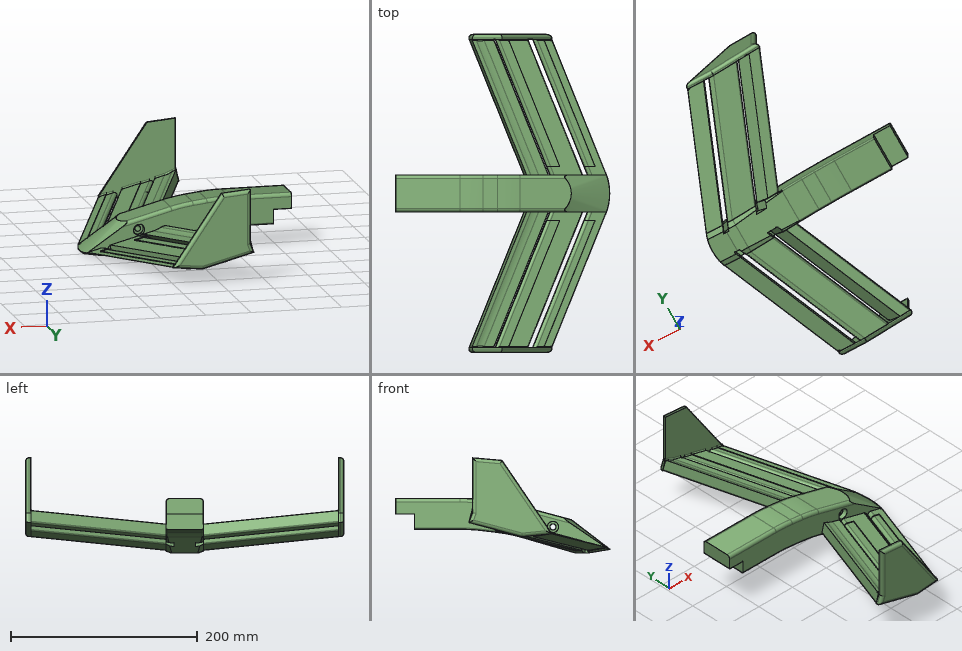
import cadquery as cq
import math


DOWNSLOPE_ANGLE = 15.0
DOWNSLOPE = math.tan(math.radians(DOWNSLOPE_ANGLE))

NOSE_LENGTH = 229.09
NOSE_HALF_WIDTH = 20.0
NOSE_TOP = 58.7
MOUNT_FLOOR = 25.5
TENON_LENGTH = 20.0
TENON_FLOOR = 41.7
TOP_FILLET = 4.0
BOTTOM_FILLET = 1.5
FIRST_SLOPE = 7.0
BENDS = (
    (69.0, 93.5, 0.0, FIRST_SLOPE),
    (109.0, 133.0, FIRST_SLOPE, DOWNSLOPE_ANGLE),
)
KEEL_REAR = 193.0
KEEL_FRONT = 205.0
TIP_HEIGHT = 4.0
KEEL_BEVEL_WIDTH = 6.0
KEEL_BEVEL_HEIGHT = 2.2
MARGIN = 1.0
TOP_EDGES_FROM = (25.0, 36.0)
BOTTOM_EDGES_FROM = (25.0, 5.0)
TIP_CORNER = (226.3, 18.0)
TIP_SIDE_X = 225.5
BONNET_REAR = 175.0
BONNET_REAR_HEIGHT = 45.8
BONNET_REAR_CROWN = 6.2
BONNET_FRONT = 230.0
BONNET_FRONT_HEIGHT = 3.7
BONNET_FRONT_CROWN = 1.0
BOLT_X = 168.3
BOLT_Z = 28.1
BOLT_DIAMETER = 6.3
COUNTERBORE_DIAMETER = 12.0
COUNTERBORE_DEPTH = 6.0
POCKET_BREAKOUT = 6.0
POCKET_END = 11.7

WING_ROOT = NOSE_HALF_WIDTH
SWEEP = math.tan(math.radians(22.0))
DIHEDRAL = math.tan(math.radians(5.75))
LEADING_EDGE = (225.5, 6.3)
REAR_BOTTOM = (136.8, 18.2)
REAR_TOP = (140.0, 31.2)
KICK_FRONT_X = 152.8
KICK_REAR = (144.4, 29.4)
FLAP_KEEL = (150.0, 14.8)
FLAP_FRONT_X = 163.4
MAIN_REAR_BOTTOM = (164.8, 9.6)
MAIN_REAR_TOP = (165.2, 18.5)
MAIN_ROUND_END_X = 169.3
MAIN_STEP_X = 179.1
MAIN_KEEL = (193.5, 3.1)
MAIN_KEEL_FRONT = (199.0, 3.1)
MAIN_FRONT_X = 199.9
FRONT_PLANE_BOTTOM = (206.0, 3.1)
FRONT_PLANE_REAR = (205.0, 7.5)
FRONT_ROUND_END_X = 209.8
FRONT_STEP_X = 217.0
REAR_EDGE_RADIUS = 1.5
STEP_DEPTH = 0.8
STEP_START = 29.0

PLATE_OUTER = 170.4
PLATE_THICKNESS = 5.6
PLATE_INNER = PLATE_OUTER - PLATE_THICKNESS
PLATE_FILLET = 3.8
PLATE_REAR_X = 82.3
PLATE_REAR_TOP = 102.19
PLATE_FRONT_TOP = (113.7, 99.4)
PLATE_NOTCH_HEIGHT = 43.2
JOINT_RADIUS = 1.8
JOINT_EMBED = 0.3


def bent_edge(height):
    """Nodes (start, middle, end) of the two arcs of an edge that leaves the rear at `height`."""
    arcs = []
    x, z = 0.0, height
    for start_x, end_x, start_slope, end_slope in BENDS:
        first, last = math.radians(start_slope), math.radians(end_slope)
        mean = (first + last) / 2
        radius = (end_x - start_x) / (math.sin(last) - math.sin(first))
        z -= (start_x - x) * math.tan(first)
        start = (start_x, z)
        middle = (
            start_x + radius * (math.sin(mean) - math.sin(first)),
            z - radius * (math.cos(first) - math.cos(mean)),
        )
        z -= radius * (math.cos(first) - math.cos(last))
        x = end_x
        arcs.append((start, middle, (x, z)))
    return arcs


def edges_along_side(side, lower_corner, upper_corner):
    """Selector for edges on one side face whose middles lie between two (X, Z) corners."""
    low_x, low_z = lower_corner
    high_x, high_z = upper_corner
    return cq.selectors.BoxSelector((low_x, side - MARGIN, low_z), (high_x, side + MARGIN, high_z))


def nose_blank():
    """Side outline of the nose, extruded across its width, with rounded long edges."""
    top = bent_edge(NOSE_TOP)
    bottom = bent_edge(MOUNT_FLOOR)
    slope_start_x, slope_start_z = top[-1][-1]
    front_z = slope_start_z - (NOSE_LENGTH - slope_start_x) * DOWNSLOPE
    outline = cq.Workplane("XZ").moveTo(0, NOSE_TOP)
    for start, middle, end in top:
        outline = outline.lineTo(*start).threePointArc(middle, end)
    outline = outline.lineTo(NOSE_LENGTH, front_z).lineTo(NOSE_LENGTH, TIP_HEIGHT)
    outline = outline.lineTo(KEEL_FRONT, 0).lineTo(KEEL_REAR, 0)
    for start, middle, end in reversed(bottom):
        outline = outline.lineTo(*end).threePointArc(middle, start)
    outline = outline.lineTo(TENON_LENGTH, MOUNT_FLOOR).lineTo(TENON_LENGTH, TENON_FLOOR)
    blank = outline.lineTo(0, TENON_FLOOR).close().extrude(NOSE_HALF_WIDTH, both=True)
    top_limit = (NOSE_LENGTH - MARGIN, NOSE_TOP + MARGIN)
    bottom_limit = (KEEL_REAR, MOUNT_FLOOR + MARGIN)
    for side in (-NOSE_HALF_WIDTH, NOSE_HALF_WIDTH):
        blank = blank.edges(edges_along_side(side, TOP_EDGES_FROM, top_limit)).fillet(TOP_FILLET)
        blank = blank.edges(edges_along_side(side, BOTTOM_EDGES_FROM, bottom_limit)).fillet(BOTTOM_FILLET)
    return blank


def nose_plan():
    """Plan outline of the nose, with its rounded tip, as a tall block."""
    corner_x, corner_y = TIP_CORNER
    return (
        cq.Workplane("XY")
        .moveTo(0, -NOSE_HALF_WIDTH)
        .lineTo(TIP_SIDE_X, -NOSE_HALF_WIDTH)
        .lineTo(corner_x, -corner_y)
        .threePointArc((NOSE_LENGTH, 0), (corner_x, corner_y))
        .lineTo(TIP_SIDE_X, NOSE_HALF_WIDTH)
        .lineTo(0, NOSE_HALF_WIDTH)
        .close()
        .extrude(NOSE_TOP)
    )


def bonnet_section(x, height, crown):
    """Closed section above the crowned front surface at one station along X."""
    half_width = NOSE_HALF_WIDTH + MARGIN
    low = height - crown
    arc = cq.Edge.makeThreePointArc(
        cq.Vector(x, -half_width, low), cq.Vector(x, 0, height), cq.Vector(x, half_width, low)
    )
    corners = [
        (x, half_width, low),
        (x, half_width, NOSE_TOP),
        (x, -half_width, NOSE_TOP),
        (x, -half_width, low),
    ]
    sides = [cq.Edge.makeLine(cq.Vector(*a), cq.Vector(*b)) for a, b in zip(corners, corners[1:])]
    return cq.Wire.assembleEdges([arc, *sides])


def bonnet_cutter():
    """Solid above the crowned front surface of the nose."""
    rear = bonnet_section(BONNET_REAR, BONNET_REAR_HEIGHT, BONNET_REAR_CROWN)
    front = bonnet_section(BONNET_FRONT, BONNET_FRONT_HEIGHT, BONNET_FRONT_CROWN)
    return cq.Workplane(cq.Solid.makeLoft([rear, front], True))


def bevel_section(x, z, scale, side):
    """Triangle that takes the bevel off the lower edge of the nose, given the underside height `z`."""
    inner = side * (NOSE_HALF_WIDTH - KEEL_BEVEL_WIDTH * scale)
    outer = side * NOSE_HALF_WIDTH
    height = KEEL_BEVEL_HEIGHT * scale
    corners = [(x, inner, z), (x, outer, z + height), (x, outer, z - height), (x, inner, z - height)]
    return cq.Wire.makePolygon([cq.Vector(*corner) for corner in corners], close=True)


def keel_bevel(side):
    """Wedges along the lower front edge on one side of the nose; the bevel widens towards the keel."""
    bend_x, bend_z = bent_edge(MOUNT_FLOOR)[-1][-1]
    sections = [
        bevel_section(bend_x, bend_z, BOTTOM_FILLET / KEEL_BEVEL_WIDTH, side),
        bevel_section(KEEL_REAR, 0, 1, side),
        bevel_section(KEEL_FRONT, 0, 1, side),
        bevel_section(NOSE_LENGTH, TIP_HEIGHT, 1, side),
    ]
    return [cq.Solid.makeLoft([rear, front], True) for rear, front in zip(sections, sections[1:])]


def bolt_hole():
    """Cross hole through the nose with a counterbore on both sides."""
    plane = cq.Workplane("XZ", origin=(BOLT_X, 0, BOLT_Z))
    hole = plane.circle(BOLT_DIAMETER / 2).extrude(NOSE_HALF_WIDTH, both=True)
    bore = plane.circle(COUNTERBORE_DIAMETER / 2).extrude(NOSE_HALF_WIDTH, both=True)
    core = plane.circle(COUNTERBORE_DIAMETER).extrude(NOSE_HALF_WIDTH - COUNTERBORE_DEPTH, both=True)
    return hole.union(bore.cut(core))


def top_point(x, drop=0.0):
    """Point of the root plane on the sloping top of the wing, or `drop` below it."""
    lead_x, lead_z = LEADING_EDGE
    return (x, lead_z + (lead_x - x) * DOWNSLOPE - drop)


def swept(outline, start, end, side):
    """Solid that follows the sweep and dihedral of a wing between two distances from the middle."""
    offset = start - WING_ROOT
    wire = outline.wire().val().translate(cq.Vector(-SWEEP * offset, side * start, DIHEDRAL * offset))
    span = end - start
    vector = cq.Vector(-SWEEP * span, side * span, DIHEDRAL * span)
    return cq.Workplane(cq.Solid.extrudeLinear(wire, [], vector))


def round_corner(before, corner, after, radius):
    """Start, middle and end of an arc that rounds the corner between two straight lines."""
    here = cq.Vector(*corner)
    back = (cq.Vector(*before) - here).normalized()
    ahead = (cq.Vector(*after) - here).normalized()
    half_angle = back.getAngle(ahead) / 2
    setback = radius / math.tan(half_angle)
    bisector = (back + ahead).normalized()
    middle = here + bisector * (radius / math.sin(half_angle) - radius)
    nodes = (here + back * setback, middle, here + ahead * setback)
    return [(node.x, node.y) for node in nodes]


def rear_flap_outline():
    """Rear flap, with its top curving up to the rear face."""
    arc_start, arc_middle, arc_end = round_corner(REAR_TOP, REAR_BOTTOM, FLAP_KEEL, REAR_EDGE_RADIUS)
    return (
        cq.Workplane("XZ")
        .moveTo(*top_point(FLAP_FRONT_X))
        .lineTo(*top_point(KICK_FRONT_X))
        .tangentArcPoint(KICK_REAR, relative=False)
        .lineTo(*REAR_TOP)
        .lineTo(*arc_start)
        .threePointArc(arc_middle, arc_end)
        .lineTo(*FLAP_KEEL)
        .close()
    )


def main_plane_outline(step):
    """Main plane; the rear strip of its top is lowered by `step`."""
    arc_start, arc_middle, arc_end = round_corner(
        MAIN_REAR_TOP, MAIN_REAR_BOTTOM, MAIN_KEEL, REAR_EDGE_RADIUS
    )
    outline = cq.Workplane("XZ").moveTo(*top_point(MAIN_FRONT_X)).lineTo(*top_point(MAIN_STEP_X))
    if step:
        outline = outline.lineTo(*top_point(MAIN_STEP_X, step))
    return (
        outline.lineTo(*top_point(MAIN_ROUND_END_X, step))
        .tangentArcPoint(MAIN_REAR_TOP, relative=False)
        .lineTo(*arc_start)
        .threePointArc(arc_middle, arc_end)
        .lineTo(*MAIN_KEEL)
        .lineTo(*MAIN_KEEL_FRONT)
        .close()
    )


def front_plane_outline(step):
    """Front plane; the rear strip of its top is lowered by `step`."""
    outline = cq.Workplane("XZ").moveTo(*LEADING_EDGE).lineTo(*top_point(FRONT_STEP_X))
    if step:
        outline = outline.lineTo(*top_point(FRONT_STEP_X, step))
    return (
        outline.lineTo(*top_point(FRONT_ROUND_END_X, step))
        .tangentArcPoint(FRONT_PLANE_REAR, relative=False)
        .lineTo(*FRONT_PLANE_BOTTOM)
        .close()
    )


def slot_outlines():
    """Gaps behind and ahead of the main plane, deepened so that they open below the nose."""

    def below(point):
        return (point[0], point[1] - POCKET_BREAKOUT)

    rear = [below(FLAP_KEEL), top_point(FLAP_FRONT_X), MAIN_REAR_TOP, below(MAIN_REAR_BOTTOM)]
    front = [below(MAIN_KEEL_FRONT), top_point(MAIN_FRONT_X), FRONT_PLANE_REAR, below(FRONT_PLANE_BOTTOM)]
    return [cq.Workplane("XZ").polyline(points).close() for points in (rear, front)]


def at_tip(point):
    """Point of the root outline carried out to the inner face of the endplate."""
    span = PLATE_INNER - WING_ROOT
    return (point[0] - SWEEP * span, point[1] + DIHEDRAL * span)


def endplate(side):
    """Upright plate that closes the wing tip and follows the underside of the wing."""
    points = [
        at_tip(REAR_BOTTOM),
        (PLATE_REAR_X, PLATE_NOTCH_HEIGHT),
        (PLATE_REAR_X, PLATE_REAR_TOP),
        PLATE_FRONT_TOP,
        at_tip(LEADING_EDGE),
        at_tip(MAIN_KEEL),
    ]
    plane = cq.Workplane("XZ", origin=(0, side * PLATE_INNER, 0))
    plate = plane.polyline(points).close().extrude(-side * PLATE_THICKNESS)
    outer_face = ">Y" if side > 0 else "<Y"
    return plate.faces(outer_face).edges().fillet(PLATE_FILLET)


def stepped_element(make_outline, side):
    """Wing element whose top is flush next to the nose and stepped along the rest of the span."""
    root = swept(make_outline(0), WING_ROOT, STEP_START, side)
    return root.union(swept(make_outline(STEP_DEPTH), STEP_START, PLATE_INNER, side))


def joint_spans():
    """Front and rear end, in the root outline, of each stretch of top that meets the endplate."""
    return [
        (top_point(FLAP_FRONT_X), top_point(KICK_FRONT_X)),
        (top_point(KICK_FRONT_X), KICK_REAR),
        (KICK_REAR, REAR_TOP),
        (top_point(MAIN_FRONT_X), top_point(MAIN_STEP_X)),
        (top_point(MAIN_STEP_X, STEP_DEPTH), top_point(MAIN_ROUND_END_X, STEP_DEPTH)),
        (LEADING_EDGE, top_point(FRONT_STEP_X)),
        (top_point(FRONT_STEP_X, STEP_DEPTH), top_point(FRONT_ROUND_END_X, STEP_DEPTH)),
    ]


def corner_joint(front_point, rear_point, side):
    """Concave rounded strip in the corner between a wing top and the endplate."""
    front_x, front_z = at_tip(front_point)
    rear_x, rear_z = at_tip(rear_point)
    inner = side * (PLATE_INNER - JOINT_RADIUS)
    wall = side * PLATE_INNER
    root = side * (PLATE_INNER + JOINT_EMBED)
    bottom = front_z - JOINT_RADIUS * DIHEDRAL
    bulge = JOINT_RADIUS * math.sqrt(0.5)
    section = (
        cq.Workplane("YZ", origin=(front_x, 0, 0))
        .moveTo(inner, bottom)
        .threePointArc((inner + side * bulge, bottom + JOINT_RADIUS - bulge), (wall, bottom + JOINT_RADIUS))
        .lineTo(root, bottom + JOINT_RADIUS)
        .lineTo(root, bottom - JOINT_EMBED)
        .lineTo(inner, bottom - JOINT_EMBED)
        .close()
    )
    path = cq.Vector(rear_x - front_x, 0, rear_z - front_z)
    return cq.Workplane(cq.Solid.extrudeLinear(section.wire().val(), [], path))


def make_wing(side):
    """One wing: three slotted elements joined by the endplate."""
    flap = swept(rear_flap_outline(), WING_ROOT, PLATE_INNER, side)
    main = stepped_element(main_plane_outline, side)
    front = stepped_element(front_plane_outline, side)
    wing = endplate(side)
    for element in (flap, main, front):
        wing = wing.union(element)
    for front_point, rear_point in joint_spans():
        wing = wing.union(corner_joint(front_point, rear_point, side))
    return wing


def make_nose():
    """Nose with its crowned front, cross hole, lower bevels and slot pockets."""
    body = nose_blank().intersect(nose_plan()).cut(bonnet_cutter()).cut(bolt_hole())
    for side in (-1, 1):
        for wedge in keel_bevel(side):
            body = body.cut(cq.Workplane(wedge))
        for outline in slot_outlines():
            body = body.cut(swept(outline, POCKET_END, WING_ROOT, side))
    return body


nose = make_nose()
wings = [make_wing(side) for side in (-1, 1)]
result = cq.Compound.makeCompound([nose.val(), *[wing.val() for wing in wings]])